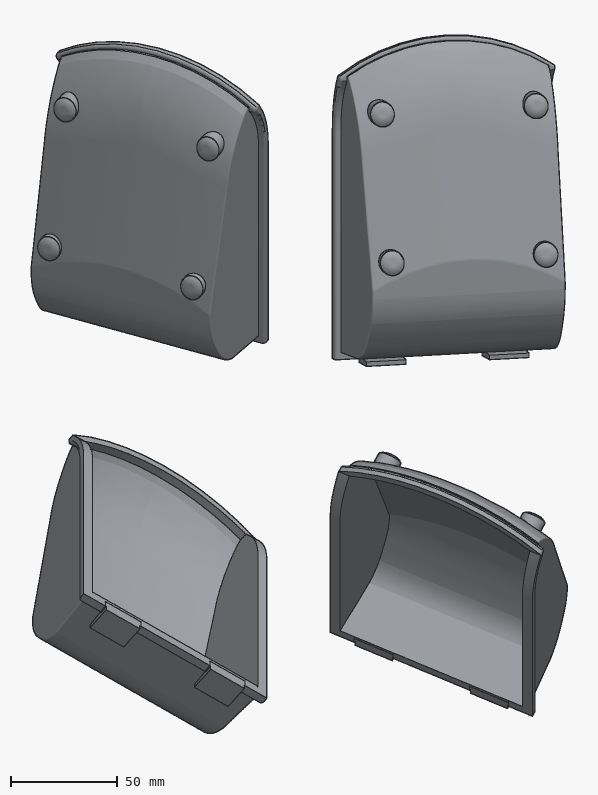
import cadquery as cq
import math

total_height = 155.8
beyond = 62.3

back_arc_bottom = 112.2
back_arc_top = 138.7
crown_setback = 9.0
back_arc_rise = back_arc_top - back_arc_bottom
back_arc_radius = (back_arc_rise**2 + crown_setback**2) / (2 * crown_setback)

flange_half_width = 52.5
flange_bottom = 2.5
flange_thickness = 4.0
flange_corner_radius = 1.4
flange_edge_radius = 1.5
arch_radius = 90.4

wall = 2.3
root_half_width = 49.7
side_draft = 3.2
shell_edge_radius = 0.8
crease_radius = 3.1

front_depth = 50.0
slope_foot_height = 56.2
slope_angle = 14.3
slope_top_height = 116.4
bulge_depth = 28.0
bulge_height = 135.5
brow_depth = 17.6
brow_height = 151.0
crown_depth = 14.0
crown_height = 154.0

floor_back_height = 5.5
floor_front = (28.7, 7.3)
lower_arc_mid = (34.9, 10.1)
lower_arc_end = (39.7, 14.5)
middle_arc_mid = (44.0, 20.7)
middle_arc_end = (47.4, 27.4)
upper_arc_mid = (49.2, 33.2)
belly_top_height = 39.5

button_radius = 5.8
button_spacing = 74.8
button_rows = [(124.5, 33.2), (56.7, 50.2)]
button_root_length = 23.4
dome_height = 1.5
dome_flat_radius = 2.2
dome_shoulder = (4.5, 1.0)

tab_spacing = 59.8
leg_width = 20.3
leg_top = 6.0
pad_top = 5.0
pad_depth = 4.5
tongue_width = 19.3
tongue_reach = 13.2
tongue_root_height = 3.3
tongue_tip_bottom = 0.5
tongue_tip_top = 2.6

touching = 0.002


def side_sketch(half_width):
    """Workplane in YZ for an outline that spans the width symmetrically."""
    return cq.Workplane("YZ", origin=(-half_width, 0, 0))


def arch_height(x):
    """Height of the crown arc at the distance x from mid width."""
    return total_height - arch_radius + math.sqrt(arch_radius**2 - x**2)


def region_behind(shift):
    """All the space behind the back outline after that is offset forward by shift."""
    radius = back_arc_radius - shift
    crown_y = -crown_setback - shift
    turn = math.acos((back_arc_radius + crown_y) / radius)

    def on_arc(angle):
        return (-back_arc_radius + radius * math.cos(angle), back_arc_bottom + radius * math.sin(angle))

    return (
        side_sketch(beyond)
        .moveTo(beyond, -beyond)
        .lineTo(-shift, -beyond)
        .lineTo(-shift, back_arc_bottom)
        .threePointArc(on_arc(turn / 2), on_arc(turn))
        .lineTo(crown_y, total_height + beyond)
        .lineTo(beyond, total_height + beyond)
        .close()
        .extrude(2 * beyond)
    )


def make_flange():
    """Plate that follows the back outline, with an arched top and rounded front edges."""
    corner_height = arch_height(flange_half_width)
    sheet = (
        cq.Workplane("XZ", origin=(0, beyond, 0))
        .moveTo(-flange_half_width, flange_bottom)
        .lineTo(-flange_half_width, corner_height)
        .threePointArc((0, total_height), (flange_half_width, corner_height))
        .lineTo(flange_half_width, flange_bottom)
        .close()
        .extrude(2 * beyond)
    )
    sheet = sheet.edges("|Y").edges(">Z").fillet(flange_corner_radius)
    behind = region_behind(0)
    flange = sheet.intersect(region_behind(flange_thickness)).cut(behind)
    front_edges = flange.edges("not |X").filter(
        lambda edge: edge.distance(behind.val()) > flange_thickness / 2
    )
    return front_edges.fillet(flange_edge_radius)


def arched_front(inset):
    """Space behind the front panel: its mid-width profile carried along the arch."""
    slope = math.tan(math.radians(slope_angle))
    slope_top_depth = front_depth - (slope_top_height - slope_foot_height) * slope
    slope_end_depth = front_depth + (slope_foot_height + beyond) * slope
    profile = (
        cq.Workplane("YZ")
        .moveTo(beyond, -beyond)
        .lineTo(-slope_end_depth, -beyond)
        .lineTo(-slope_top_depth, slope_top_height)
        .threePointArc((-bulge_depth, bulge_height), (-brow_depth, brow_height))
        .lineTo(-crown_depth, crown_height)
        .lineTo(beyond, crown_height)
        .close()
    )
    if inset:
        profile = profile.offset2D(-inset, "intersection")
    reach = flange_half_width + 1.5
    arch = (
        cq.Workplane("XZ")
        .moveTo(0, total_height)
        .threePointArc((reach / 2, arch_height(reach / 2)), (reach, arch_height(reach)))
    )
    half = profile.sweep(arch, normal=cq.Vector(1, 0, 0))
    return half.union(half.mirror("YZ"))


def belly(inset):
    """Space bounded by the floor, the rounded belly and the upright front."""

    def at(point):
        return (-point[0], point[1])

    profile = (
        side_sketch(beyond)
        .moveTo(beyond, floor_back_height)
        .lineTo(0, floor_back_height)
        .lineTo(*at(floor_front))
        .threePointArc(at(lower_arc_mid), at(lower_arc_end))
        .threePointArc(at(middle_arc_mid), at(middle_arc_end))
        .threePointArc(at(upper_arc_mid), (-front_depth, belly_top_height))
        .lineTo(-front_depth, total_height + beyond)
        .lineTo(beyond, total_height + beyond)
        .close()
    )
    if inset:
        profile = profile.offset2D(-inset, "intersection")
    return profile.extrude(2 * beyond)


def between_sides(inset):
    """Space between the two side walls, which lean inward towards the front."""
    lean = beyond * math.tan(math.radians(side_draft))
    back = root_half_width + lean - inset
    front = root_half_width - lean - inset
    return (
        cq.Workplane("XY", origin=(0, 0, -beyond))
        .polyline([(-back, beyond), (back, beyond), (front, -beyond), (-front, -beyond)])
        .close()
        .extrude(total_height + 2 * beyond)
    )


def shell_form(inset):
    """Solid form of the shell, its walls moved inward by inset."""
    return between_sides(inset).intersect(belly(inset)).intersect(arched_front(inset))


def on_upright_front(edge):
    """Whether both ends of the edge lie on the upright front."""
    ends = (edge.startPoint(), edge.endPoint())
    return all(abs(end.y + front_depth) < touching for end in ends)


def rounded_form():
    """Outer form of the shell with its front crease and the rims of its side walls rounded."""
    form = shell_form(0)
    form = form.edges("%BSPLINE").filter(on_upright_front).fillet(crease_radius)
    return form.faces("<X or >X").edges().fillet(shell_edge_radius)


def make_tab(x):
    """Hinge tab: a leg let into the flange and a tapered tongue below it."""
    leg = cq.Workplane("XY", origin=(0, -flange_thickness, flange_bottom)).box(
        leg_width, flange_thickness, leg_top - flange_bottom, centered=(True, False, False)
    )
    tongue = (
        side_sketch(tongue_width / 2)
        .moveTo(0, 0)
        .lineTo(0, pad_top)
        .lineTo(-pad_depth, pad_top)
        .lineTo(-pad_depth, tongue_root_height)
        .lineTo(-tongue_reach, tongue_tip_top)
        .lineTo(-tongue_reach, tongue_tip_bottom)
        .close()
        .extrude(tongue_width)
    )
    return leg.union(tongue).translate((x, 0, 0))


def make_housing(form, tabs):
    """Hollow shell on its flange, open at the back and notched for the hinge tabs."""
    housing = make_flange().union(form).cut(region_behind(0)).cut(shell_form(wall))
    for tab in tabs:
        housing = housing.cut(tab)
    return housing


def make_button(x, height, depth, form):
    """Round button with a tilted domed head, its stem ending on the front panel."""
    front_plane = cq.Plane(origin=(x, -depth, height), xDir=(1, 0, 0), normal=(0, -1, 0))
    rim_plane = front_plane.rotated((-slope_angle, 0, 0))
    above_rim = cq.Workplane(rim_plane).rect(beyond, beyond).extrude(beyond)
    stem = (
        cq.Workplane("XZ", origin=(x, -depth + button_root_length, height))
        .circle(button_radius)
        .extrude(2 * button_root_length)
        .cut(above_rim)
        .cut(form)
    )
    dome = (
        cq.Workplane(cq.Plane(rim_plane.origin, rim_plane.xDir, -rim_plane.yDir))
        .lineTo(button_radius, 0)
        .threePointArc(dome_shoulder, (dome_flat_radius, dome_height))
        .lineTo(0, dome_height)
        .close()
        .revolve(360, (0, 0, 0), (0, 1, 0))
    )
    return stem.union(dome)


form = rounded_form()
tabs = [make_tab(side * tab_spacing / 2) for side in (-1, 1)]
housing = make_housing(form, tabs)
buttons = [
    make_button(side * button_spacing / 2, height, depth, form)
    for height, depth in button_rows
    for side in (-1, 1)
]

result = cq.Compound.makeCompound(
    [housing.val()] + [button.val() for button in buttons] + [tab.val() for tab in tabs]
)